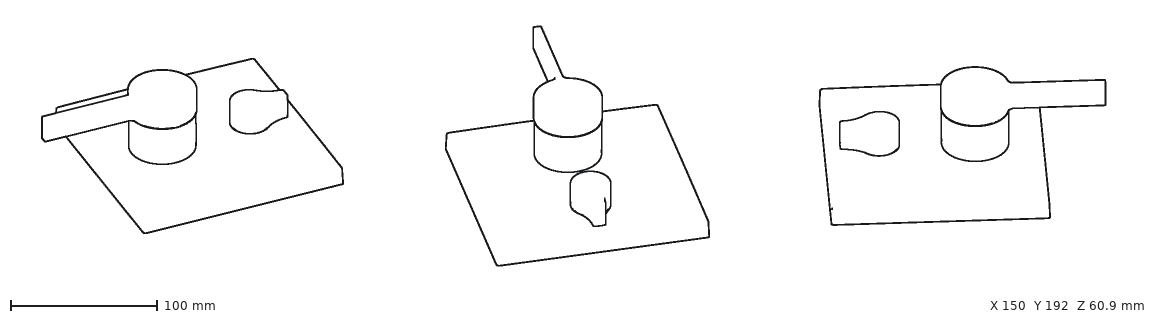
import cadquery as cq
import math

plate_side = 150.0
plate_edge_height = 13.5
plate_crown_height = 14.0
plate_draft_inset = 0.5
plate_corner_radius = 2.0
plate_edge_radius = 1.5

overall_length = 192.0
overall_height = 60.9
lever_center_y = -27.6
stem_radius = 23.0
head_radius = 23.6
head_height = 18.2
lever_width = 5.8
lever_root_radius = 3.8
lever_tip_y = plate_side / 2 - overall_length
head_edge_radius = 1.0

knob_center_y = 38.0
knob_radius = 13.8
knob_base_z = 14.8
knob_top_z = 33.5
knob_tip_drop = 1.0
knob_tip_y = 64.9
knob_tip_half_width = 4.6
knob_tip_corner_radius = 2.0
knob_edge_radius = 1.0
neck_radius = 12.7

embed_z = plate_edge_height / 2


def make_plate():
    """Slightly tapered square block with a shallow spherical crown."""
    draft_angle = math.degrees(math.atan(plate_draft_inset / plate_edge_height))
    block = (
        cq.Workplane("XY")
        .rect(plate_side, plate_side)
        .extrude(plate_crown_height, taper=draft_angle)
        .edges("not(#Z)")
        .fillet(plate_corner_radius)
    )
    half_side = plate_side / 2
    crown_rise = plate_crown_height - plate_edge_height
    crown_radius = (half_side**2 + crown_rise**2) / (2 * crown_rise)
    crown_center_z = plate_crown_height - crown_radius
    rim_z = crown_center_z + math.sqrt(crown_radius**2 - plate_side**2)
    crown = (
        cq.Workplane("XZ")
        .moveTo(0, -plate_crown_height)
        .lineTo(0, plate_crown_height)
        .radiusArc((plate_side, rim_z), crown_radius)
        .lineTo(plate_side, -plate_crown_height)
        .close()
        .revolve(360, (0, 0, 0), (0, 1, 0))
    )
    return block.intersect(crown).faces(">Z").edges().fillet(plate_edge_radius)


def make_post(center_y, radius, top_z):
    """Round post rising out of the plate."""
    post = cq.Workplane("XY", origin=(0, center_y, embed_z)).circle(radius)
    return post.extrude(top_z - embed_z)


def make_lever():
    """Round head with a straight flat lever blended into its front."""
    base_z = overall_height - head_height
    head = cq.Workplane("XY", origin=(0, lever_center_y, base_z)).circle(head_radius).extrude(head_height)
    arm_length = lever_center_y - lever_tip_y
    arm = (
        cq.Workplane("XY", origin=(0, lever_center_y - arm_length / 2, base_z))
        .rect(lever_width, arm_length)
        .extrude(head_height)
    )
    half_width = lever_width / 2
    root_y = lever_center_y - math.sqrt(head_radius**2 - half_width**2)
    roots = cq.selectors.BoxSelector(
        (-lever_width, root_y - half_width, base_z),
        (lever_width, root_y + half_width, overall_height),
    )
    lever = head.union(arm).edges("|Z").edges(roots).fillet(lever_root_radius)
    lever = lever.edges("|Z and <Y").fillet(head_edge_radius)
    return lever.faces("<Z or >Z").edges().fillet(head_edge_radius)


def make_knob():
    """Round body with hollow flanks, its top sloping down towards a narrow tip."""
    flank_end_y = knob_tip_y - knob_tip_corner_radius
    rise = flank_end_y - knob_center_y
    flank_radius = (rise**2 + knob_tip_half_width**2 - knob_radius**2) / (
        2 * (knob_radius - knob_tip_half_width)
    )
    flank_center_x = knob_tip_half_width + flank_radius
    touch_angle = math.atan2(rise, flank_center_x)
    touch_x = knob_radius * math.cos(touch_angle)
    touch_y = knob_center_y + knob_radius * math.sin(touch_angle)
    middle_angle = touch_angle / 2
    middle_x = flank_center_x - flank_radius * math.cos(middle_angle)
    middle_y = flank_end_y - flank_radius * math.sin(middle_angle)

    tip_flat = knob_tip_half_width - knob_tip_corner_radius
    corner_offset = knob_tip_corner_radius * math.sqrt(0.5)
    corner_x = tip_flat + corner_offset
    corner_y = flank_end_y + corner_offset

    body = (
        cq.Workplane("XY", origin=(0, 0, knob_base_z))
        .moveTo(touch_x, touch_y)
        .threePointArc((middle_x, middle_y), (knob_tip_half_width, flank_end_y))
        .threePointArc((corner_x, corner_y), (tip_flat, knob_tip_y))
        .lineTo(-tip_flat, knob_tip_y)
        .threePointArc((-corner_x, corner_y), (-knob_tip_half_width, flank_end_y))
        .threePointArc((-middle_x, middle_y), (-touch_x, touch_y))
        .threePointArc((0, knob_center_y - knob_radius), (touch_x, touch_y))
        .close()
        .extrude(knob_top_z - knob_base_z)
    )
    slope_wedge = (
        cq.Workplane("YZ")
        .moveTo(knob_center_y - knob_radius, knob_top_z)
        .lineTo(knob_tip_y, knob_top_z - knob_tip_drop)
        .lineTo(knob_tip_y, knob_top_z)
        .close()
        .extrude(knob_radius, both=True)
    )
    return body.cut(slope_wedge).faces(">Z").edges().fillet(knob_edge_radius)


stem = make_post(lever_center_y, stem_radius, overall_height - head_height / 2)
neck = make_post(knob_center_y, neck_radius, (knob_base_z + knob_top_z) / 2)
result = make_plate().union(stem).union(make_lever()).union(neck).union(make_knob())